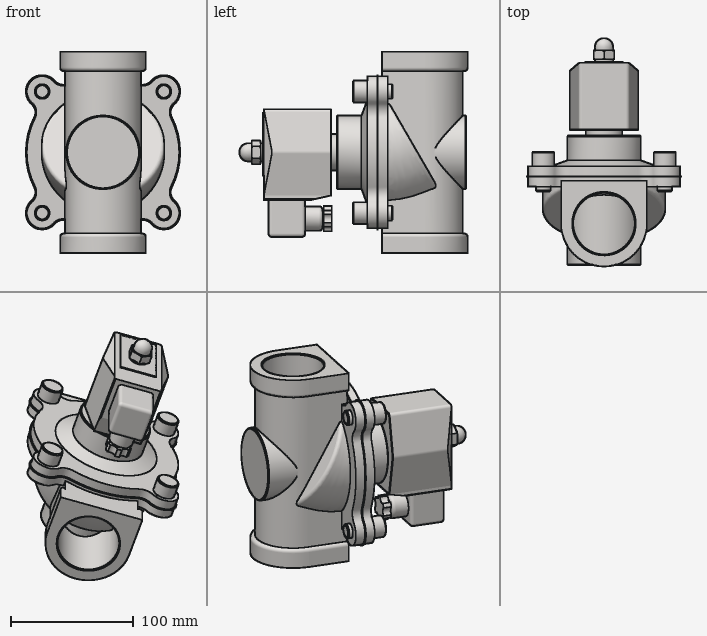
import cadquery as cq
import math


overall_depth = 186

pipe_length = 164.0
pipe_radius = 31.0
bore_diameter = 50.0
bore_chamfer = 1.0
collar_radius = 35.0
collar_length = 16.0
collar_fillet = 3.0
pipe_back = collar_radius

boss_diameter = 60.0
boss_front = -33.9
boss_chamfer = 1.0

flange_thickness = 8.0
flange_bottom = 30.1
flange_rim_radius = 62.0
lug_radius = 12.5
neck_fillet = 10.0
gasket_thickness = 0.5
gasket_overhang = 1.0
bolt_offset = flange_rim_radius - lug_radius
gasket_bottom = flange_bottom + flange_thickness
cover_bottom = gasket_bottom + gasket_thickness
cover_top = cover_bottom + flange_thickness

elbow_radius = 50.0
elbow_hinge_z = 50.2
elbow_angle = 30
elbow_fillet = 3.0
elbow_overlap = 1.9

bonnet_diameter = boss_diameter
cone_base_radius = 43.3
cone_top = 51.5
bonnet_top = 71.8
bonnet_chamfer = 1.0
stem_diameter = 30.0

coil_bottom = 76.0
coil_top = 131.0
coil_half_width = 28.0
coil_flat_half_width = 20.0
coil_half_height = 35.2
coil_top_fillet = 3.0
coil_side_fillet = 5.0
coil_corner_drop = 6.7
coil_end_chamfer = 0.5
foot_depth = 3.7
foot_taper_length = 16.5
foot_chamfer = 1.0
label_width = 30.5
label_height = 51.0
label_thickness = 1.0
label_center_z = 6.5

plug_size = 30.0
plug_back = 127.2
plug_bottom = -69.0
plug_fillet = 3.0
gland_diameter = 20.0
gland_z = -54.0
gland_end = 83.1
gland_fillet = 3.0
gland_neck_diameter = 12.0
knob_radius = 10.5
knob_back = 82.4
knob_front = 75.5
knob_scallops = 6
scallop_radius = 4.3
scallop_center_distance = 12.3

bolt_head_diameter = 18.0
bolt_head_height = 11.9
bolt_head_chamfer = 1.0
bolt_shank_diameter = 12.0
bolt_tip_diameter = 10.0
bolt_tip = 26.0

nut_across_flats = 17.0
nut_collar_height = 1.7
nut_hex_height = 7.5
nut_corner_chamfer = 0.7
dome_diameter = 15.0
actuator_tip = overall_depth - collar_radius
nut_seat = coil_top + label_thickness


def plane_at(y, x=0, z=0):
    """Sketch plane across the actuator axis at height y, local axes X and Z."""
    return cq.Workplane("XZ", origin=(x, y, z))


def cylinder(diameter, y_start, y_end, x=0, z=0):
    """Cylinder along Y between two heights."""
    return plane_at(y_start, x, z).circle(diameter / 2).extrude(y_start - y_end)


def d_profile(radius, z):
    """Half-round outline with straight sides running back to the flat pipe back."""
    return (
        cq.Workplane("XY", origin=(0, 0, z))
        .moveTo(-radius, pipe_back)
        .lineTo(-radius, 0)
        .threePointArc((0, -radius), (radius, 0))
        .lineTo(radius, pipe_back)
        .close()
    )


def make_pipe():
    half = pipe_length / 2
    pipe = d_profile(pipe_radius, -half).extrude(pipe_length)
    collar = d_profile(collar_radius, half).extrude(-collar_length)
    collar = collar.faces("<Z").edges("not >Y").fillet(collar_fillet)
    pipe = pipe.union(collar).union(collar.mirror("XY"))
    pipe = pipe.faces(">Z").workplane(origin=(0, 0, half)).hole(bore_diameter)
    bore_rims = cq.selectors.RadiusNthSelector(0)
    return pipe.faces("<Z or >Z").edges("%CIRCLE").edges(bore_rims).chamfer(bore_chamfer)


def make_boss():
    boss = cylinder(boss_diameter, boss_front, flange_bottom)
    return boss.faces("<Y").chamfer(boss_chamfer)


def make_elbow():
    """Disc swung about its top edge, leaving a slanted round face below the flange."""
    elbow = plane_at(pipe_back).circle(elbow_radius).revolve(
        elbow_angle, (1.9, elbow_hinge_z), (-1.9, elbow_hinge_z))
    reach = 4 * elbow_radius
    keep = plane_at(flange_bottom + elbow_overlap).rect(reach, reach).extrude(reach)
    elbow = elbow.intersect(keep)
    return elbow.faces("<Y").edges("%CIRCLE").fillet(elbow_fillet)


def rotate_point(point, angle):
    x, z = point
    return (x * math.cos(angle) - z * math.sin(angle), x * math.sin(angle) + z * math.cos(angle))


def point_towards(start, target, distance):
    span = math.dist(start, target)
    return tuple(a + (b - a) * distance / span for a, b in zip(start, target))


def lugged_plate(overhang, y_start, thickness):
    """Round plate with four bolt lugs, grown outwards all round by overhang."""
    rim = flange_rim_radius + overhang
    lug = lug_radius + overhang
    neck = neck_fillet - overhang
    lug_distance = bolt_offset * math.sqrt(2)
    neck_distance = rim + neck
    neck_angle = math.acos(
        (neck_distance**2 + lug_distance**2 - (lug + neck) ** 2) / (2 * neck_distance * lug_distance)
    )
    neck_center = rotate_point((neck_distance, 0), neck_angle)
    rim_end = rotate_point((rim, 0), neck_angle)
    lug_end = point_towards(neck_center, (lug_distance, 0), neck)
    neck_chord_middle = tuple((a + b) / 2 for a, b in zip(rim_end, lug_end))
    neck_middle = point_towards(neck_center, neck_chord_middle, neck)
    lug_tip = (lug_distance + lug, 0)

    def mirrored(point):
        return (point[0], -point[1])

    quarter = math.pi / 2
    outline = plane_at(y_start).moveTo(*rotate_point(mirrored(rim_end), quarter / 2))
    for index in range(4):
        turn = quarter * (index + 0.5)
        outline = (
            outline.threePointArc(
                rotate_point(mirrored(neck_middle), turn), rotate_point(mirrored(lug_end), turn))
            .threePointArc(rotate_point(lug_tip, turn), rotate_point(lug_end, turn))
            .threePointArc(rotate_point(neck_middle, turn), rotate_point(rim_end, turn))
            .threePointArc(
                rotate_point((rim, 0), turn + quarter / 2),
                rotate_point(mirrored(rim_end), turn + quarter))
        )
    return outline.close().extrude(-thickness)


def make_flanges():
    lower = lugged_plate(0, flange_bottom, flange_thickness)
    gasket = lugged_plate(gasket_overhang, gasket_bottom, gasket_thickness)
    upper = lugged_plate(0, cover_bottom, flange_thickness)
    return lower.union(gasket).union(upper)


def make_bonnet():
    bonnet_radius = bonnet_diameter / 2
    bonnet = (
        cq.Workplane("XY")
        .moveTo(0, cover_top)
        .lineTo(cone_base_radius, cover_top)
        .lineTo(bonnet_radius, cone_top)
        .lineTo(bonnet_radius, bonnet_top - bonnet_chamfer)
        .lineTo(bonnet_radius - bonnet_chamfer, bonnet_top)
        .lineTo(0, bonnet_top)
        .close()
        .revolve(360, (0, 0), (0, 1))
    )
    return bonnet.union(cylinder(stem_diameter, bonnet_top, coil_bottom))


def make_coil():
    length = coil_top - coil_bottom
    right_half = [
        (coil_flat_half_width, -coil_half_height),
        (coil_half_width, 0),
        (coil_flat_half_width, coil_half_height),
    ]
    left_half = [(-x, z) for x, z in reversed(right_half)]
    coil = plane_at(coil_bottom).polyline(right_half + left_half).close().extrude(-length)
    coil = coil.edges("|Y").edges(">X or <X").fillet(coil_side_fillet)
    top_edges = cq.selectors.BoxSelector(
        (-coil_half_width, coil_bottom, coil_half_height - coil_top_fillet),
        (coil_half_width, coil_top, coil_half_height + coil_top_fillet),
    )
    coil = coil.edges("|Y").edges(top_edges).fillet(coil_top_fillet)
    coil = coil.faces("<Y").chamfer(coil_end_chamfer)
    for side in (-1, 1):
        corner_cut = (
            cq.Workplane("XY")
            .moveTo(side * coil_flat_half_width, coil_top)
            .lineTo(side * coil_half_width, coil_top - coil_corner_drop)
            .lineTo(side * coil_half_width, coil_top)
            .close()
            .extrude(2 * coil_half_height, both=True)
        )
        coil = coil.cut(corner_cut)
    return coil


def make_coil_foot():
    """Raised pad under the coil that tapers away towards the bonnet."""
    pad_bottom = -coil_half_height - foot_depth
    foot = (
        cq.Workplane("YZ")
        .moveTo(coil_bottom, -coil_half_height)
        .lineTo(coil_bottom + foot_taper_length, pad_bottom)
        .lineTo(coil_top, pad_bottom)
        .lineTo(coil_top, -coil_half_height)
        .close()
        .extrude(coil_flat_half_width, both=True)
    )
    return foot.faces("<Z").edges("|Y").chamfer(foot_chamfer)


def make_label():
    return plane_at(coil_top, z=label_center_z).rect(label_width, label_height).extrude(-label_thickness)


def make_plug():
    top = -coil_half_height - foot_depth
    height = top - plug_bottom
    plug = plane_at(plug_back, z=top - height / 2).rect(plug_size, height).extrude(plug_size)
    return plug.edges("|Z or <Z").fillet(plug_fillet)


def make_gland():
    plug_front = plug_back - plug_size
    gland = cylinder(gland_diameter, gland_end, plug_front, z=gland_z)
    gland = gland.faces("<Y").edges().fillet(gland_fillet)
    neck = cylinder(gland_neck_diameter, knob_back, gland_end, z=gland_z)
    knob = cylinder(2 * knob_radius, knob_front, knob_back, z=gland_z)
    scallops = (
        plane_at(knob_front, z=gland_z)
        .polarArray(scallop_center_distance, 0, 360, knob_scallops)
        .circle(scallop_radius)
        .extrude(knob_front - knob_back)
    )
    return gland.union(neck).union(knob.cut(scallops))


def make_bolt(x, z):
    """Round-headed bolt: head on the upper flange, chamfered tip below the lower one."""
    tip_chamfer = (bolt_shank_diameter - bolt_tip_diameter) / 2
    shank = cylinder(bolt_shank_diameter, bolt_tip, cover_top, x, z)
    shank = shank.faces("<Y").chamfer(tip_chamfer)
    head = cylinder(bolt_head_diameter, cover_top, cover_top + bolt_head_height, x, z)
    return shank.union(head.faces(">Y").chamfer(bolt_head_chamfer))


def make_nut():
    """Domed hexagon nut standing on a short collar."""
    hex_bottom = nut_seat + nut_collar_height
    hex_top = hex_bottom + nut_hex_height
    dome_radius = dome_diameter / 2
    dome_base = actuator_tip - dome_radius
    across_corners = nut_across_flats / math.cos(math.pi / 6)
    hexagon = plane_at(hex_bottom).transformed(rotate=(0, 0, 90)).polygon(6, across_corners)
    hexagon = hexagon.extrude(-nut_hex_height)
    trim = cylinder(across_corners, hex_bottom, hex_top).edges().chamfer(nut_corner_chamfer)
    body = hexagon.intersect(trim).union(cylinder(dome_diameter, nut_seat, dome_base))
    dome = cq.Workplane("XY").sphere(dome_radius).translate((0, dome_base, 0))
    return body.union(dome)


bolt_places = [(x, z) for x in (-bolt_offset, bolt_offset) for z in (-bolt_offset, bolt_offset)]
bolts = [make_bolt(x, z) for x, z in bolt_places]
nut = make_nut()

valve = make_pipe()
for section in (make_boss(), make_elbow(), make_flanges(), make_bonnet(), make_coil(),
                make_coil_foot(), make_label(), make_plug(), make_gland()):
    valve = valve.union(section)
for x, z in bolt_places:
    valve = valve.cut(cylinder(bolt_shank_diameter, bolt_tip, cover_top, x, z))

result = cq.Compound.makeCompound([valve.val(), nut.val(), *[bolt.val() for bolt in bolts]])